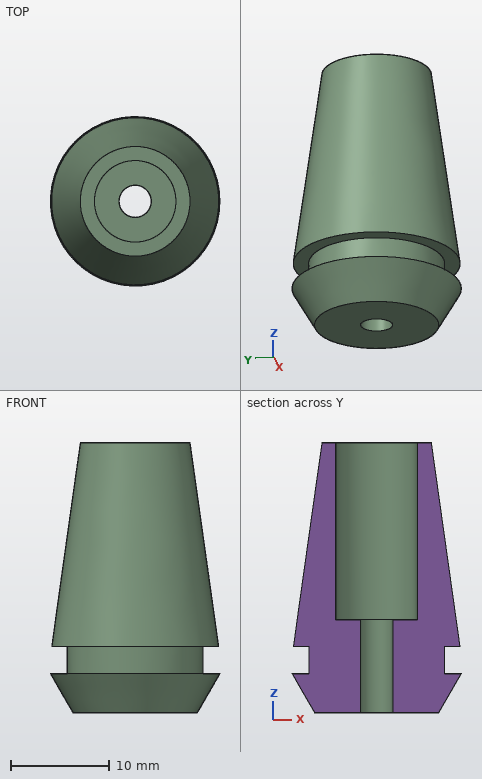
import cadquery as cq
import math

total_height = 27.5
collar_height = 4.0
groove_width = 2.75

collar_diameter = 17.25
body_diameter = 17.0
groove_diameter = 13.85
body_half_angle = 8.0
collar_half_angle = 30.0

bore_diameter = 8.3
through_hole_diameter = 3.25
bore_depth = 18.0

body_base_z = collar_height + groove_width
body_height = total_height - body_base_z


def tapered_radius(large_diameter, height, half_angle):
    """Radius at the small end of a cone of the given height."""
    return large_diameter / 2 - height * math.tan(math.radians(half_angle))


def make_outer_body():
    """Revolve the collar, groove and long taper about the Z axis."""
    collar_small_radius = tapered_radius(collar_diameter, collar_height, collar_half_angle)
    body_small_radius = tapered_radius(body_diameter, body_height, body_half_angle)
    profile = [
        (0, 0),
        (collar_small_radius, 0),
        (collar_diameter / 2, collar_height),
        (groove_diameter / 2, collar_height),
        (groove_diameter / 2, body_base_z),
        (body_diameter / 2, body_base_z),
        (body_small_radius, total_height),
        (0, total_height),
    ]
    return cq.Workplane("XZ").polyline(profile).close().revolve(360, (0, 0), (0, 1))


def cut_stepped_bore(body):
    """Cut the wide blind bore from the top and the narrow hole through its floor."""
    top = body.faces(">Z").workplane()
    bored = top.circle(bore_diameter / 2).cutBlind(-bore_depth)
    return bored.faces(">Z").workplane().circle(through_hole_diameter / 2).cutThruAll()


result = cut_stepped_bore(make_outer_body())